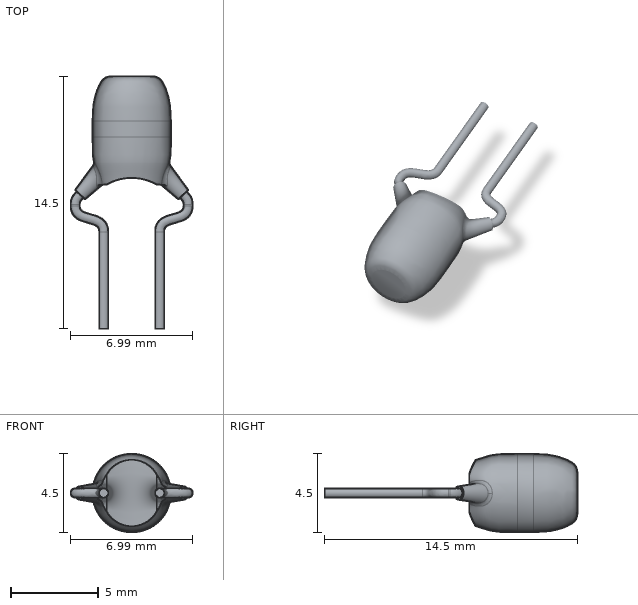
import cadquery as cq
import math


overall_width = 6.99
overall_length = 14.46
body_diameter = 4.5

lead_diameter = 0.53
lead_spacing = 3.2
lead_straight_length = 5.57
elbow_y = 1.48
elbow_straight = 0.085

body_radius = body_diameter / 2
body_back_y = overall_length - lead_straight_length
body_front_y = 2.68
band_front_y = 5.43
band_back_y = 6.35
back_face_radius = 1.1
back_corner = (1.81, 8.46)
back_shoulder = (2.06, 7.85)
front_waist = (2.16, 3.95)
front_rim = (1.9, 3.06)
front_face_radius = 1.78
front_rim_tangent = (0.5, 1)

arch_half_width = 1.43
arch_apex_y = 3.06

sleeve_angle = 43.0
sleeve_tip_radius = 0.39
sleeve_half_taper = 6.8
sleeve_length = 2.0
sleeve_tip = (2.95, 2.11)
sleeve_fillet = 0.3

along_y = (0, 1)
towards_axis = (-1, 0)

joint_x_range = (arch_half_width, sleeve_tip[0] - sleeve_tip_radius)
joint_y_range = (body_front_y - sleeve_fillet, front_waist[1])

lead_x = lead_spacing / 2
elbow_x = (overall_width - lead_diameter) / 2
sleeve_slope = math.radians(sleeve_angle)
sleeve_direction = (-math.sin(sleeve_slope), math.cos(sleeve_slope))


def along(point, direction, distance):
    """Point reached by moving a distance from a point in a unit direction."""
    return (point[0] + direction[0] * distance, point[1] + direction[1] * distance)


def make_body():
    """Barrel of revolution about Y with a cylindrical centre band."""
    return (
        cq.Workplane("XY")
        .moveTo(0, body_front_y)
        .lineTo(front_face_radius, body_front_y)
        .spline(
            [front_rim, front_waist, (body_radius, band_front_y)],
            tangents=[front_rim_tangent, along_y],
            includeCurrent=True,
        )
        .lineTo(body_radius, band_back_y)
        .spline(
            [back_shoulder, back_corner, (back_face_radius, body_back_y)],
            tangents=[along_y, towards_axis],
            includeCurrent=True,
        )
        .lineTo(0, body_back_y)
        .close()
        .revolve(360, (0, 0, 0), (0, 1, 0))
    )


def make_arch():
    """Prism that hollows the front face between the leads."""
    return (
        cq.Workplane("XY")
        .moveTo(-arch_half_width, body_front_y)
        .threePointArc((0, arch_apex_y), (arch_half_width, body_front_y))
        .close()
        .extrude(body_radius, both=True)
    )


def make_sleeve():
    """Cone that widens from the lead into the body."""
    base_radius = sleeve_tip_radius + sleeve_length * math.tan(math.radians(sleeve_half_taper))
    return cq.Workplane(
        cq.Solid.makeCone(
            sleeve_tip_radius,
            base_radius,
            sleeve_length,
            pnt=cq.Vector(*sleeve_tip, 0),
            dir=cq.Vector(*sleeve_direction, 0),
        )
    )


def make_lead():
    """Round wire: straight leg, S-bend out to the elbow, bend back into the sleeve."""
    inner_end = along(sleeve_tip, sleeve_direction, sleeve_length / 2)
    path = (
        cq.Workplane("XY")
        .moveTo(lead_x, -lead_straight_length)
        .lineTo(lead_x, 0)
        .spline([(elbow_x, elbow_y)], tangents=[along_y, along_y], includeCurrent=True)
        .lineTo(elbow_x, elbow_y + elbow_straight)
        .spline([sleeve_tip], tangents=[along_y, sleeve_direction], includeCurrent=True)
        .lineTo(*inner_end)
    )
    return (
        cq.Workplane("XZ", origin=(lead_x, -lead_straight_length, 0))
        .circle(lead_diameter / 2)
        .sweep(path)
    )


def both_sides(shape):
    """The shape together with its mirror image across X = 0."""
    return shape.union(shape.mirror("YZ"))


def make_sleeved_body():
    """Body with both sleeves, blended along the edges where they meet."""
    joined = make_body().union(both_sides(make_sleeve()))
    for side in (-1, 1):
        near_corner = (side * joint_x_range[0], joint_y_range[0], -body_radius)
        far_corner = (side * joint_x_range[1], joint_y_range[1], body_radius)
        joint_edges = joined.edges(cq.selectors.BoxSelector(near_corner, far_corner))
        joined = joint_edges.fillet(sleeve_fillet)
    return joined


body = make_sleeved_body().cut(make_arch())
result = body.union(both_sides(make_lead()))